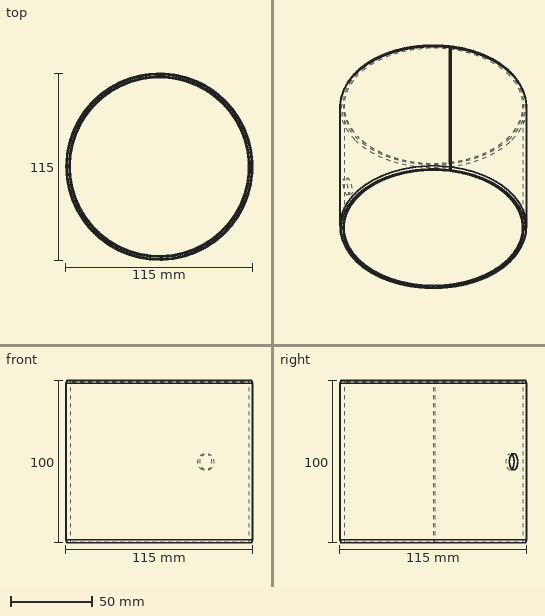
import cadquery as cq

outer_diameter = 115.0
length = 100.0
wall = 2.5
slit_angle = 1.0
outer_chamfer_length = 1.8
outer_chamfer_depth = 0.7
inner_chamfer = 0.7
oil_hole_diameter = 10.0
oil_hole_from_slit = 120.0

outer_radius = outer_diameter / 2
inner_radius = outer_radius - wall
half_length = length / 2


def make_sleeve():
    """Revolve the wall section with chamfered ends about Z, leaving the slit open."""
    outer_end_radius = outer_radius - outer_chamfer_depth
    inner_end_radius = inner_radius + inner_chamfer
    outer_straight = half_length - outer_chamfer_length
    inner_straight = half_length - inner_chamfer
    section = [
        (-inner_radius, -inner_straight),
        (-inner_end_radius, -half_length),
        (-outer_end_radius, -half_length),
        (-outer_radius, -outer_straight),
        (-outer_radius, outer_straight),
        (-outer_end_radius, half_length),
        (-inner_end_radius, half_length),
        (-inner_radius, inner_straight),
    ]
    profile = cq.Workplane("XZ").polyline(section).close()
    return profile.revolve(360 - slit_angle, (0, 0, 0), (0, 1, 0))


def make_oil_hole():
    """Radial drill through one side of the wall at mid length."""
    angle = 180 - slit_angle / 2 - oil_hole_from_slit
    drill = cq.Workplane("YZ").circle(oil_hole_diameter / 2).extrude(outer_diameter)
    return drill.rotate((0, 0, 0), (0, 0, 1), angle)


result = make_sleeve().cut(make_oil_hole())